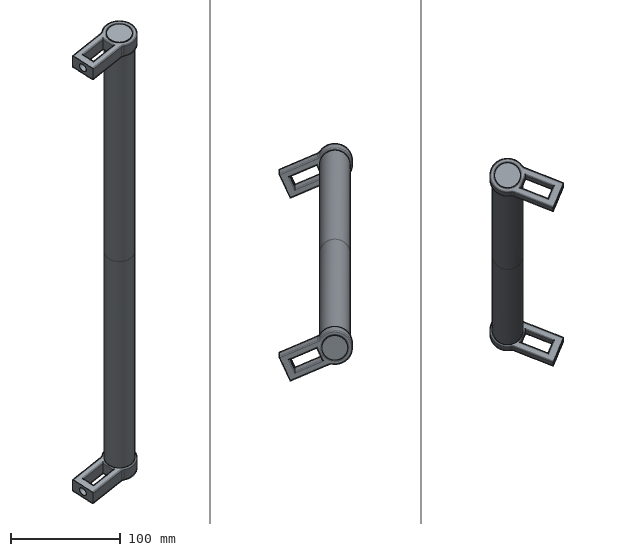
import cadquery as cq

total_height = 564.0
total_depth = 66.0
bracket_height = 14.5
bracket_offset = (total_height - bracket_height) / 2

bar_diameter = 28.0
bar_length = total_height - 2 * bracket_height

eye_diameter = 32.0
eye_bore = 23.5
arm_reach = total_depth - eye_diameter / 2
arm_width = 25.5
junction_radius = 5.0
edge_radius = 1.0

slot_width = 12.5
slot_near = 15.0
slot_far = 42.5
slot_length = slot_far - slot_near
slot_center_y = -(slot_near + slot_far) / 2
end_wall = arm_reach - slot_far
hole_diameter = 8.5


def make_cylinder(diameter, height):
    """Cylinder along Z, centred on the origin."""
    return cq.Workplane("XY").circle(diameter / 2).extrude(height / 2, both=True)


def make_bracket_outline():
    """Solid eye and arm with rounded junctions, centred in Z."""
    eye = make_cylinder(eye_diameter, bracket_height)
    arm = cq.Workplane("XY").box(arm_width, arm_reach, bracket_height).translate((0, -arm_reach / 2, 0))
    junctions = cq.selectors.BoxSelector(
        (-eye_diameter, -eye_diameter / 2, -bracket_height),
        (eye_diameter, 0, bracket_height),
    )
    return eye.union(arm).edges("|Z").edges(junctions).fillet(junction_radius)


def make_bracket():
    """Bracket with an open eye, a slotted arm and an end hole, centred in Z."""
    bore = make_cylinder(eye_bore, bracket_height)
    slot = cq.Workplane("XY").box(slot_width, slot_length, bracket_height).translate((0, slot_center_y, 0))
    bracket = make_bracket_outline().cut(bore).cut(slot)

    bracket = bracket.faces("<Z or >Z").edges("not <Y").fillet(edge_radius)

    end_hole = cq.Workplane("XZ").workplane(offset=slot_far).circle(hole_diameter / 2).extrude(end_wall)
    return bracket.cut(end_hole)


def make_plug():
    """Plug filling the eye of a bracket, flush with its faces and centred in Z."""
    return make_cylinder(eye_bore, bracket_height)


bar = make_cylinder(bar_diameter, bar_length)
brackets = []
plugs = []
for center_z in (-bracket_offset, bracket_offset):
    brackets.append(make_bracket().translate((0, 0, center_z)).solids().val())
    plugs.append(make_plug().translate((0, 0, center_z)).solids().val())

result = cq.Compound.makeCompound([bar.solids().val(), *brackets, *plugs])